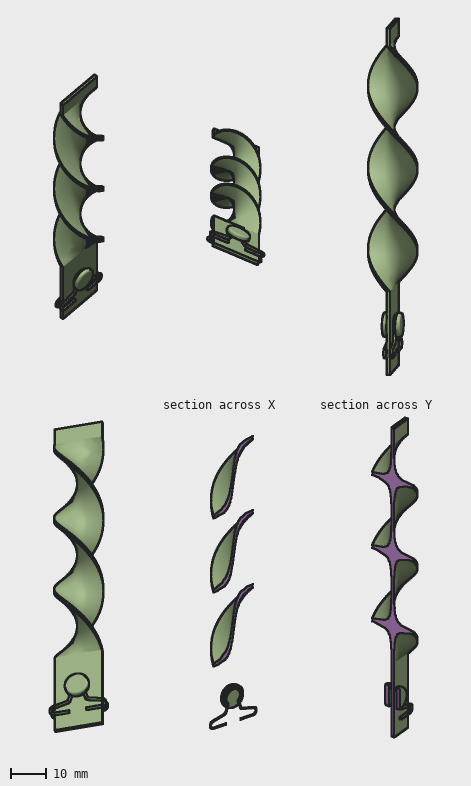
import cadquery as cq
import math

blade_width = 14.0
blade_thickness = 1.0
blade_length = 100.0
tail_length = 24.0
tip_length = 5.0
twist_length = blade_length - tail_length - tip_length
half_turns = 3
twist_angle = -180.0 * half_turns

wire_radius = 0.4
wire_offset = blade_thickness / 2 + wire_radius

button_radius = 3.5
button_fillet = 0.6
button_sink = 0.05
button_inner = wire_offset + wire_radius - button_sink
button_outer = 2.65
button_z = 13.0

clip_width = 16.8
ring_radius = 2.6
neck_y = 1.8
neck_z = button_z - math.sqrt(ring_radius ** 2 - neck_y ** 2)
knee_y = 2.7
knee_z = 8.4
knee_bend_radius = 0.8
loop_radius = 1.15
bar_z = 5.1
bar_end_y = 2.6
loop_y = clip_width / 2 - wire_radius - loop_radius
loop_z = bar_z + loop_radius


def make_blade():
    section = (blade_thickness, blade_width)
    tail = cq.Workplane("XY").rect(*section).extrude(tail_length)
    twist = (
        cq.Workplane("XY", origin=(0, 0, tail_length))
        .rect(*section)
        .twistExtrude(twist_length, twist_angle)
    )
    tip = (
        cq.Workplane("XY", origin=(0, 0, tail_length + twist_length))
        .rect(*section)
        .extrude(tip_length)
    )
    return tail.union(twist).union(tip)


def sweep_wire(path, start, direction):
    """Sweep the round wire section along a path that starts at a (y, z) point."""
    start_plane = cq.Plane(
        origin=(wire_offset, *start),
        xDir=(1, 0, 0),
        normal=(0, *direction),
    )
    return cq.Workplane(start_plane).circle(wire_radius).sweep(path)


def wire_plane():
    return cq.Workplane("YZ", origin=(wire_offset, 0, 0))


def make_ring():
    """Ring under the button, open at the bottom between the two necks."""
    path = (
        wire_plane()
        .moveTo(neck_y, neck_z)
        .threePointArc((0, button_z + ring_radius), (-neck_y, neck_z))
    )
    tangent = (button_z - neck_z, neck_y)
    return sweep_wire(path, (neck_y, neck_z), tangent)


def make_arm():
    """Leg, knee bend, sloping arm, end loop and straight bar on the +Y side."""
    to_loop_y = loop_y - knee_y
    to_loop_z = loop_z - knee_z
    to_loop = math.hypot(to_loop_y, to_loop_z)
    arm_angle = math.atan2(to_loop_z, to_loop_y) + math.asin(loop_radius / to_loop)
    arm_dir = (math.cos(arm_angle), math.sin(arm_angle))
    loop_start = (loop_y - loop_radius * arm_dir[1], loop_z + loop_radius * arm_dir[0])

    leg_angle = math.atan2(knee_z - neck_z, knee_y - neck_y)
    leg_dir = (math.cos(leg_angle), math.sin(leg_angle))
    setback = knee_bend_radius * math.tan((arm_angle - leg_angle) / 2)
    bend_start = (knee_y - setback * leg_dir[0], knee_z - setback * leg_dir[1])
    bend_end = (knee_y + setback * arm_dir[0], knee_z + setback * arm_dir[1])

    path = (
        wire_plane()
        .moveTo(neck_y, neck_z)
        .lineTo(*bend_start)
        .tangentArcPoint(bend_end, relative=False)
        .lineTo(*loop_start)
        .threePointArc((loop_y + loop_radius, loop_z), (loop_y, bar_z))
        .lineTo(bar_end_y, bar_z)
    )
    return sweep_wire(path, (neck_y, neck_z), leg_dir)


def make_neck_joint():
    """Ball that rounds the sharp corner between the ring and the leg."""
    return cq.Workplane("XY", origin=(wire_offset, neck_y, neck_z)).sphere(wire_radius)


def make_button():
    return (
        cq.Workplane("YZ", origin=(button_inner, 0, button_z))
        .circle(button_radius)
        .extrude(button_outer - button_inner)
        .faces(">X")
        .edges()
        .fillet(button_fillet)
    )


def make_clip():
    half = make_arm().union(make_neck_joint())
    wire = make_ring().union(half).union(half.mirror("XZ"))
    return wire.union(make_button())


blade = make_blade()
right_clip = make_clip()
left_clip = right_clip.mirror("YZ")

bodies = [blade, right_clip, left_clip]
result = cq.Compound.makeCompound([body.solids().val() for body in bodies])